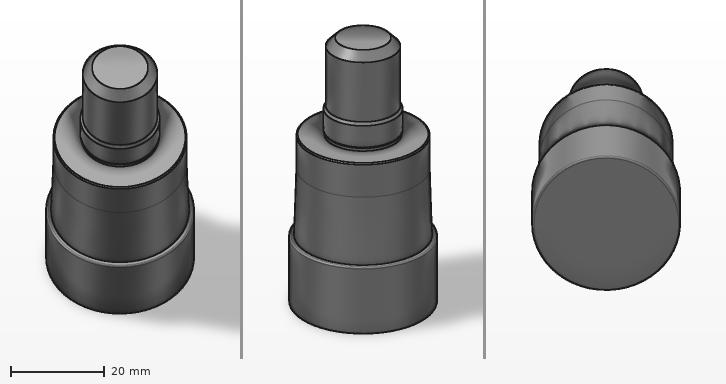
import cadquery as cq

total_height = 63.0

base_radius = 15.9
base_height = 16.0
base_edge = 0.4
skirt_radius = 14.8
barrel_radius = 14.3
barrel_bottom = 32.0
barrel_top = 40.0
barrel_chamfer = 0.3

foot_radius = 8.3
foot_height = 0.5
neck_radius = 8.0
neck_height = 0.3
collar_radius = 8.5
collar_bottom_chamfer = 0.2
collar_top = 46.1
shank_radius = 8.0
shank_bottom = 46.8
tip_chamfer = 2.0


def make_housing():
    """Round base carrying a tapered barrel, with its outer edges broken."""
    base = cq.Workplane("XY").circle(base_radius).extrude(base_height)
    base = base.faces("<Z or >Z").edges().fillet(base_edge)
    barrel = (
        cq.Workplane("XZ")
        .moveTo(0, base_height)
        .lineTo(skirt_radius, base_height)
        .lineTo(barrel_radius, barrel_bottom)
        .lineTo(barrel_radius, barrel_top - barrel_chamfer)
        .lineTo(barrel_radius - barrel_chamfer, barrel_top)
        .lineTo(0, barrel_top)
        .close()
        .revolve(360, (0, 0), (0, 1))
    )
    return base.union(barrel)


def make_pin():
    """Turned pin with a flared foot, a short neck below its collar and a chamfered tip."""
    neck_bottom = barrel_top + foot_height
    neck_top = neck_bottom + neck_height
    return (
        cq.Workplane("XZ")
        .moveTo(0, barrel_top)
        .lineTo(foot_radius, barrel_top)
        .lineTo(neck_radius, neck_bottom)
        .lineTo(neck_radius, neck_top)
        .lineTo(collar_radius - collar_bottom_chamfer, neck_top)
        .lineTo(collar_radius, neck_top + collar_bottom_chamfer)
        .lineTo(collar_radius, collar_top)
        .lineTo(shank_radius, shank_bottom)
        .lineTo(shank_radius, total_height - tip_chamfer)
        .lineTo(shank_radius - tip_chamfer, total_height)
        .lineTo(0, total_height)
        .close()
        .revolve(360, (0, 0), (0, 1))
    )


housing = make_housing()
pin = make_pin()
result = cq.Compound.makeCompound([housing.val(), pin.val()])